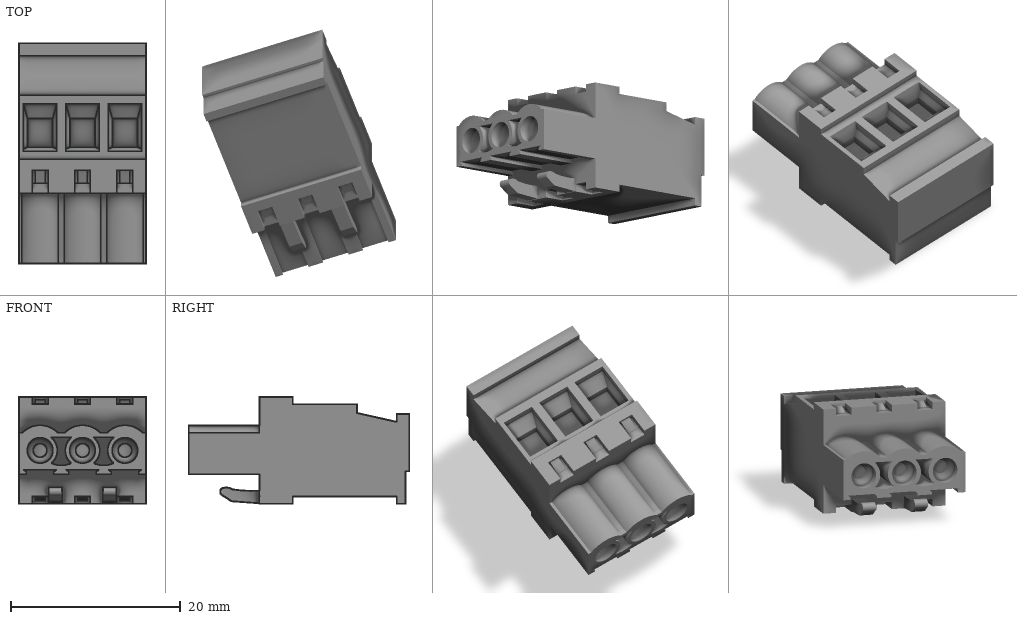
import cadquery as cq
import math


POLES = 3
WIDTH = 15.0
LENGTH = 26
HEIGHT = 12.6
PITCH = WIDTH / POLES
CUT_MARGIN = 0.25

SHOULDER_Y = 8.32
COLLAR_REAR_Y = 12.27
SCREW_DECK_REAR_Y = 19.86
REAR_LIP_Y = 24.5
FOOT_REAR_Y = 25.55
UNDERSIDE_Z = 0.85
FOOT_TOP_Z = 3.82
REAR_LIP_Z = 10.6
RAMP_LOW_Z = 9.67
RAMP_HIGH_Z = 10.7
SCREW_DECK_Z = HEIGHT - UNDERSIDE_Z

PLUG_BOTTOM_Z = 3.48
PLUG_TOP_Z = 8.35
CONTACT_Z = 6.3
BARREL_RADIUS = 2.96
BORE_RADIUS = 1.5
CONE_END_RADIUS = 0.8
BORE_DEPTH = 1.38
CONE_DEPTH = 0.65

HOLLOW_WALL_RADIUS = 2.03
HOLLOW_TOP_Z = 7.83
HOLLOW_LEDGE_Z = 4.91
HOLLOW_CORNER_Z = 4.78
HOLLOW_BOTTOM_Z = 4.52
HOLLOW_HALF_WIDTH = 1.15
HOLLOW_DEPTH = SHOULDER_Y

GROOVE_DEPTH = 0.52
GROOVE_LIP = 0.29
GROOVE_TOP_WIDTH = 3.8
GROOVE_MOUTH_WIDTH = 3.22

WELL_WIDTH = 3.95
WELL_FRONT_Y = 13.23
WELL_REAR_Y = 18.82
RIM_DEPTH = 1.07
FUNNEL_DEPTH = 0.78
SHAFT_WIDTH = 2.96
SHAFT_FRONT_Y = 13.73
SHAFT_REAR_Y = 17.1
SHAFT_DEPTH = 0.94
SHAFT_TAPER = 0.05

SLOT_WIDTH = 1.87
SLOT_REAR_Y = 11.0
SLOT_DEPTH = 0.88
WEDGE_WIDTH = 1.17
WEDGE_FRONT_Y = 9.5
WEDGE_RISE = 0.55
SLOT_STEP = 0.05

LATCH_WIDTH = 1.6
LATCH_X = 3.2
LATCH_ROOT_BOTTOM_Z = 0.05
LATCH_TOP_Z = 1.55
LATCH_HEEL = (5.07, 0.29)
LATCH_CHIN = (3.9, 1.05)
LATCH_NOSE = (3.7, 1.45)
LATCH_BROW = (4.05, 1.87)
LATCH_CREST = (4.6, 1.92)
LATCH_NECK = (5.15, 1.72)
LATCH_ARM_MID_Y = 6.63


def pole_centres(count):
    return [(i - (count - 1) / 2) * PITCH for i in range(count)]


def box(x, width, y0, y1, z0, z1):
    """Box centred on x, spanning y0..y1 and z0..z1."""
    return cq.Workplane("XY").box(width, y1 - y0, z1 - z0, centered=False).translate((x - width / 2, y0, z0))


def extrude_along_x(profile, x, width):
    """Extrude a closed YZ profile over a width centred on x."""
    return profile.extrude(width / 2, both=True).translate((x, 0, 0))


def extrude_along_y(profile, depth):
    """Extrude a closed XZ profile rearwards from the plug tip."""
    return profile.extrude(-depth)


def make_housing():
    profile = (
        cq.Workplane("YZ")
        .moveTo(SHOULDER_Y, 0)
        .lineTo(COLLAR_REAR_Y, 0)
        .lineTo(COLLAR_REAR_Y, UNDERSIDE_Z)
        .lineTo(REAR_LIP_Y, UNDERSIDE_Z)
        .lineTo(REAR_LIP_Y, 0)
        .lineTo(FOOT_REAR_Y, 0)
        .lineTo(FOOT_REAR_Y, FOOT_TOP_Z)
        .lineTo(LENGTH, FOOT_TOP_Z)
        .lineTo(LENGTH, REAR_LIP_Z)
        .lineTo(REAR_LIP_Y, REAR_LIP_Z)
        .lineTo(REAR_LIP_Y, RAMP_LOW_Z)
        .lineTo(SCREW_DECK_REAR_Y, RAMP_HIGH_Z)
        .lineTo(SCREW_DECK_REAR_Y, SCREW_DECK_Z)
        .lineTo(COLLAR_REAR_Y, SCREW_DECK_Z)
        .lineTo(COLLAR_REAR_Y, HEIGHT)
        .lineTo(SHOULDER_Y, HEIGHT)
        .close()
    )
    return extrude_along_x(profile, 0, WIDTH)


def make_barrel(x):
    """Rounded ridge along the top of the plug, concentric with its contact."""
    rise = PLUG_TOP_Z - CONTACT_Z
    half_chord = math.sqrt(BARREL_RADIUS**2 - rise**2)
    profile = (
        cq.Workplane("XZ")
        .moveTo(x - half_chord, PLUG_TOP_Z)
        .threePointArc((x, CONTACT_Z + BARREL_RADIUS), (x + half_chord, PLUG_TOP_Z))
        .lineTo(x + half_chord, CONTACT_Z)
        .lineTo(x - half_chord, CONTACT_Z)
        .close()
    )
    return extrude_along_y(profile, SHOULDER_Y)


def make_contact_bore(x):
    """Straight bore ending in a blunt cone."""
    profile = (
        cq.Workplane("XY")
        .lineTo(BORE_RADIUS, 0)
        .lineTo(BORE_RADIUS, BORE_DEPTH)
        .lineTo(CONE_END_RADIUS, BORE_DEPTH + CONE_DEPTH)
        .lineTo(0, BORE_DEPTH + CONE_DEPTH)
        .close()
    )
    return profile.revolve(360, (0, 0, 0), (0, 1, 0)).translate((x, 0, CONTACT_Z))


def make_hollow(x):
    """Waisted hollow between two contacts; its sides follow the contact sleeves."""

    def wall_x(z):
        return PITCH / 2 - math.sqrt(HOLLOW_WALL_RADIUS**2 - (z - CONTACT_Z) ** 2)

    top_half_width = wall_x(HOLLOW_TOP_Z)
    waist = PITCH / 2 - HOLLOW_WALL_RADIUS
    ledge_half_width = wall_x(HOLLOW_LEDGE_Z)
    profile = (
        cq.Workplane("XZ")
        .moveTo(x - top_half_width, HOLLOW_TOP_Z)
        .lineTo(x + top_half_width, HOLLOW_TOP_Z)
        .threePointArc((x + waist, CONTACT_Z), (x + ledge_half_width, HOLLOW_LEDGE_Z))
        .lineTo(x + HOLLOW_HALF_WIDTH, HOLLOW_LEDGE_Z)
        .lineTo(x + HOLLOW_HALF_WIDTH, HOLLOW_CORNER_Z)
        .threePointArc((x, HOLLOW_BOTTOM_Z), (x - HOLLOW_HALF_WIDTH, HOLLOW_CORNER_Z))
        .lineTo(x - HOLLOW_HALF_WIDTH, HOLLOW_LEDGE_Z)
        .lineTo(x - ledge_half_width, HOLLOW_LEDGE_Z)
        .threePointArc((x - waist, CONTACT_Z), (x - top_half_width, HOLLOW_TOP_Z))
        .close()
    )
    return extrude_along_y(profile, HOLLOW_DEPTH)


def make_keying_groove(x):
    """Undercut groove along the underside of the plug."""
    top_z = PLUG_BOTTOM_Z + GROOVE_DEPTH
    lip_z = PLUG_BOTTOM_Z + GROOVE_LIP
    half_top = GROOVE_TOP_WIDTH / 2
    half_mouth = GROOVE_MOUTH_WIDTH / 2
    profile = cq.Workplane("XZ").polyline(
        [
            (x - half_top, top_z),
            (x + half_top, top_z),
            (x + half_mouth, lip_z),
            (x + half_mouth, PLUG_BOTTOM_Z),
            (x - half_mouth, PLUG_BOTTOM_Z),
            (x - half_mouth, lip_z),
        ]
    ).close()
    return extrude_along_y(profile, SHOULDER_Y)


def make_tapered_block(x, top, bottom):
    """Block centred on x between two level rectangles, each given as (width, y0, y1, z)."""
    top_width, top_y0, top_y1, top_z = top
    bottom_width, bottom_y0, bottom_y1, bottom_z = bottom
    top_y = (top_y0 + top_y1) / 2
    bottom_y = (bottom_y0 + bottom_y1) / 2
    return (
        cq.Workplane("XY", origin=(x, top_y, top_z))
        .rect(top_width, top_y1 - top_y0)
        .workplane(offset=bottom_z - top_z)
        .center(0, bottom_y - top_y)
        .rect(bottom_width, bottom_y1 - bottom_y0)
        .loft(ruled=True)
    )


def make_screw_well(x):
    """Rim with a leaning front wall, then an off-centre funnel, then a slightly tapered shaft."""
    funnel_z = SCREW_DECK_Z - RIM_DEPTH
    shaft_z = funnel_z - FUNNEL_DEPTH
    floor_z = shaft_z - SHAFT_DEPTH
    rim_front_y = WELL_FRONT_Y + (SHAFT_FRONT_Y - WELL_FRONT_Y) * RIM_DEPTH / (RIM_DEPTH + FUNNEL_DEPTH)
    mouth = (WELL_WIDTH, WELL_FRONT_Y, WELL_REAR_Y, SCREW_DECK_Z)
    funnel_top = (WELL_WIDTH, rim_front_y, WELL_REAR_Y, funnel_z)
    shaft_top = (SHAFT_WIDTH, SHAFT_FRONT_Y, SHAFT_REAR_Y, shaft_z)
    floor = (SHAFT_WIDTH - 2 * SHAFT_TAPER, SHAFT_FRONT_Y, SHAFT_REAR_Y - SHAFT_TAPER, floor_z)
    rim = make_tapered_block(x, mouth, funnel_top)
    funnel = make_tapered_block(x, funnel_top, shaft_top)
    shaft = make_tapered_block(x, shaft_top, floor)
    return rim.union(funnel).union(shaft)


def make_test_slot(x):
    """Slot in the collar top with a wedge left standing against its rear wall."""
    floor_z = HEIGHT - SLOT_DEPTH
    slot = box(x, SLOT_WIDTH, SHOULDER_Y - CUT_MARGIN, SLOT_REAR_Y, floor_z, HEIGHT + CUT_MARGIN)
    wedge_profile = cq.Workplane("YZ").polyline(
        [
            (WEDGE_FRONT_Y, floor_z),
            (SLOT_REAR_Y, floor_z),
            (SLOT_REAR_Y, floor_z + WEDGE_RISE),
            (WEDGE_FRONT_Y, floor_z + SLOT_STEP),
        ]
    ).close()
    step = box(x, SLOT_WIDTH, WEDGE_FRONT_Y, SLOT_REAR_Y, floor_z, floor_z + SLOT_STEP)
    return slot.cut(step).cut(extrude_along_x(wedge_profile, x, WEDGE_WIDTH))


def make_latch(x):
    """Forward-reaching arm with an upturned, rounded tip."""
    profile = (
        cq.Workplane("YZ")
        .moveTo(SHOULDER_Y, LATCH_ROOT_BOTTOM_Z)
        .lineTo(*LATCH_HEEL)
        .lineTo(*LATCH_CHIN)
        .threePointArc(LATCH_NOSE, LATCH_BROW)
        .threePointArc(LATCH_CREST, LATCH_NECK)
        .threePointArc((LATCH_ARM_MID_Y, LATCH_TOP_Z), (SHOULDER_Y, LATCH_TOP_Z))
        .close()
    )
    return extrude_along_x(profile, x, LATCH_WIDTH)


contacts = pole_centres(POLES)
result = make_housing().union(box(0, WIDTH, 0, SHOULDER_Y, PLUG_BOTTOM_Z, PLUG_TOP_Z))

for x in contacts:
    result = result.union(make_barrel(x))

for x in contacts:
    top_slot = make_test_slot(x)
    bottom_slot = top_slot.mirror("XY", (0, 0, HEIGHT / 2))
    result = result.cut(make_contact_bore(x)).cut(make_keying_groove(x)).cut(make_screw_well(x))
    result = result.cut(top_slot).cut(bottom_slot)

for x in pole_centres(POLES - 1):
    result = result.cut(make_hollow(x))

for x in (-LATCH_X, LATCH_X):
    result = result.union(make_latch(x))